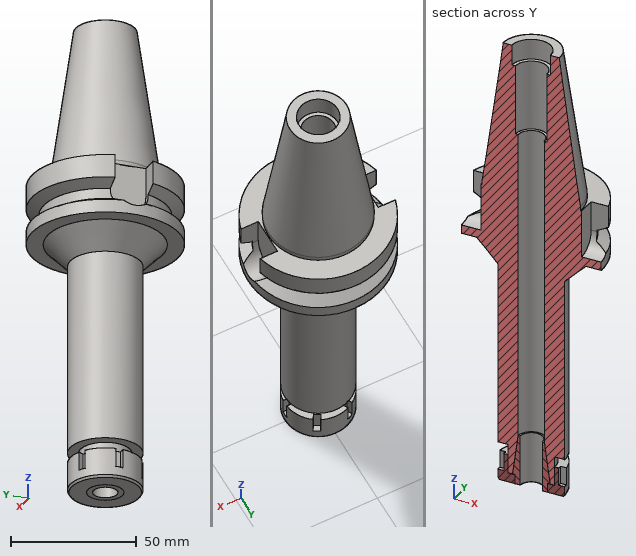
import cadquery as cq
import math

total_height = 200.5
nut_height = 12.6
shank_bottom = 17.0
flange_bottom = 108.0
flange_top = 133.0
gauge_line = 135.0

gauge_radius = 22.2
taper_ratio = 7 / 24
taper_top_radius = gauge_radius - (total_height - gauge_line) * taper_ratio / 2
flange_radius = 31.5
shank_radius = 15.0
shoulder_height = 9.6
nose_radius = 10.6

groove_radius = 26.5
groove_centre = 118.5
groove_floor_width = 4.5
groove_mouth_width = 9.8

slot_width = 16.2
slot_bottom = 112.0
slot_floor_distance = 22.6

mouth_bore_radius = 8.6
mouth_bore_depth = 9.0
middle_bore_radius = 7.0
middle_bore_depth = 40.0
through_bore_radius = 5.8

collet_angle = math.radians(8)
collet_radius = 8.5
collet_tip_radius = 7.5
collet_hole_radius = 5.0

nut_radius = 15.0
nut_lip_height = 4.0
nut_chamfer_height = 1.0
nut_chamfer_width = 0.6
spanner_slot_count = 6
spanner_slot_width = 3.0
spanner_slot_bottom = 4.8
spanner_slot_floor = 12.5

collet_cone_length = (collet_radius - through_bore_radius) / math.tan(collet_angle)
collet_top = nut_lip_height + collet_cone_length


def revolve_profile(points):
    """Turn a closed outline of (radius, height) points about the Z axis."""
    return cq.Workplane("YZ").polyline(points).close().revolve(360, (0, 0), (0, 1))


def make_drive_slot():
    """Cutter for the -X drive slot: straight sides and a round lower end."""
    end_radius = slot_width / 2
    return (
        cq.Workplane("YZ", origin=(-slot_floor_distance, 0, 0))
        .moveTo(-end_radius, flange_top)
        .lineTo(-end_radius, slot_bottom + end_radius)
        .threePointArc((0, slot_bottom), (end_radius, slot_bottom + end_radius))
        .lineTo(end_radius, flange_top)
        .close()
        .extrude(-flange_radius)
    )


def make_holder():
    """Taper, grooved flange and shank, bored right through along the axis."""
    holder = revolve_profile([
        (collet_radius, nut_lip_height),
        (through_bore_radius, collet_top),
        (through_bore_radius, total_height - middle_bore_depth),
        (middle_bore_radius, total_height - middle_bore_depth),
        (middle_bore_radius, total_height - mouth_bore_depth),
        (mouth_bore_radius, total_height - mouth_bore_depth),
        (mouth_bore_radius, total_height),
        (taper_top_radius, total_height),
        (gauge_radius, gauge_line),
        (gauge_radius, flange_top),
        (flange_radius, flange_top),
        (flange_radius, groove_centre + groove_mouth_width / 2),
        (groove_radius, groove_centre + groove_floor_width / 2),
        (groove_radius, groove_centre - groove_floor_width / 2),
        (flange_radius, groove_centre - groove_mouth_width / 2),
        (flange_radius, flange_bottom),
        (shank_radius + shoulder_height, flange_bottom),
        (shank_radius, flange_bottom - shoulder_height),
        (shank_radius, shank_bottom),
        (nose_radius, shank_bottom),
        (nose_radius, nut_lip_height),
    ])
    drive_slot = make_drive_slot()
    return holder.cut(drive_slot).cut(drive_slot.mirror("YZ"))


def make_collet():
    """Conical collet with a short cylindrical tip and a straight hole."""
    return revolve_profile([
        (collet_hole_radius, 0),
        (collet_tip_radius, 0),
        (collet_tip_radius, nut_lip_height),
        (collet_radius, nut_lip_height),
        (through_bore_radius, collet_top),
        (collet_hole_radius, collet_top),
    ])


def make_nut():
    """Round nut that cups the holder nose, with spanner slots around its rim."""
    nut = revolve_profile([
        (collet_tip_radius, 0),
        (nut_radius - nut_chamfer_width, 0),
        (nut_radius, nut_chamfer_height),
        (nut_radius, nut_height),
        (nose_radius, nut_height),
        (nose_radius, nut_lip_height),
        (collet_tip_radius, nut_lip_height),
    ])
    spanner_slot = cq.Workplane("XY").box(
        nut_radius, spanner_slot_width, nut_height, centered=(False, True, False)
    ).translate((spanner_slot_floor, 0, spanner_slot_bottom))
    for index in range(spanner_slot_count):
        angle = index * 360 / spanner_slot_count
        nut = nut.cut(spanner_slot.rotate((0, 0, 0), (0, 0, 1), angle))
    return nut


holder = make_holder()
collet = make_collet()
nut = make_nut()

result = cq.Compound.makeCompound([holder.val(), collet.val(), nut.val()])